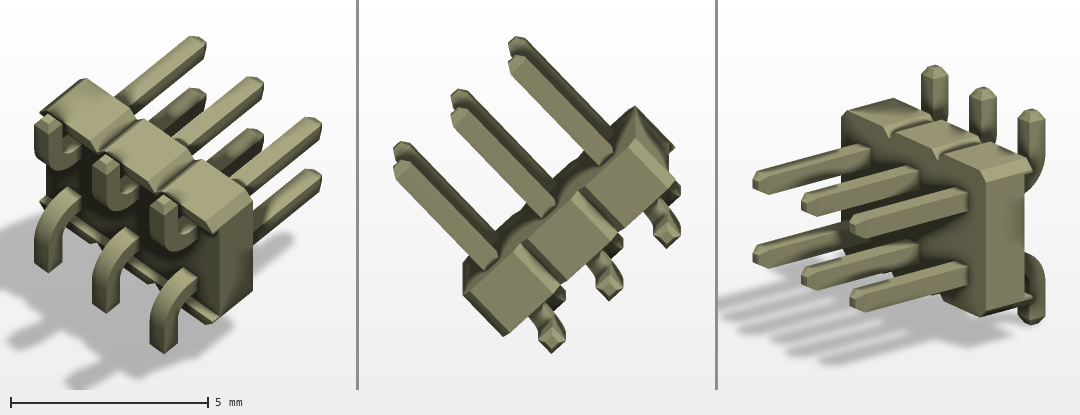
import cadquery as cq

columns = 3
housing_width = 6.0
overall_depth = 6.0
overall_height = 5.75
pin_size = 0.505
inner_bend_radius = 0.49
housing_height = 3.985
housing_depth = 1.495
notch = 0.25
recess_depth = 0.25
lip_height = 0.32
leg_tip_length = 0.205
mating_tip_length = 0.23
tip_ratio = 0.5

pitch = housing_width / columns
row_height = pitch / 2
outer_bend_radius = inner_bend_radius + pin_size
housing_front = outer_bend_radius
leg_end = overall_height / 2
leg_straight_end = leg_end - leg_tip_length
mating_straight_end = overall_depth - mating_tip_length
bend_end = row_height - pin_size / 2 + outer_bend_radius
column_places = [(i - (columns - 1) / 2) * pitch for i in range(columns)]


def make_cell(x):
    """One octagonal unit of the housing, as deep as the housing."""
    return (
        cq.Workplane("XZ", origin=(x, housing_front, 0))
        .rect(pitch, housing_height)
        .extrude(-housing_depth)
        .edges("|Y")
        .chamfer(notch)
    )


def make_housing():
    """Row of joined cells with a front recess and square through holes for the pins."""
    housing = make_cell(column_places[0])
    for x in column_places[1:]:
        housing = housing.union(make_cell(x))

    recess = cq.Workplane("XY").box(
        housing_width, recess_depth, housing_height - 2 * lip_height, centered=(True, False, True)
    )
    housing = housing.cut(recess.translate((0, housing_front, 0)))

    hole_places = [(x, z) for x in column_places for z in (row_height, -row_height)]
    holes = (
        cq.Workplane("XZ", origin=(0, housing_front, 0))
        .pushPoints(hole_places)
        .rect(pin_size, pin_size)
        .extrude(-housing_depth)
    )
    return housing.cut(holes).solids()


def make_tip(base, length):
    """Square pyramid frustum that tapers along the normal of its base plane."""
    end_size = pin_size * tip_ratio
    return (
        cq.Workplane(base)
        .rect(pin_size, pin_size)
        .workplane(offset=length)
        .rect(end_size, end_size)
        .loft(ruled=True)
    )


def make_upper_pin():
    """Square wire at X = 0 that runs along Y and bends up at the front, tapered at both ends."""
    leg_center = pin_size / 2
    wire_path = (
        cq.Workplane("YZ")
        .moveTo(mating_straight_end, row_height)
        .lineTo(housing_front, row_height)
        .radiusArc((leg_center, bend_end), inner_bend_radius + pin_size / 2)
        .lineTo(leg_center, leg_straight_end)
    )
    mating_plane = cq.Plane(
        origin=(0, mating_straight_end, row_height), xDir=(1, 0, 0), normal=(0, 1, 0)
    )
    leg_plane = cq.Plane(
        origin=(0, leg_center, leg_straight_end), xDir=(1, 0, 0), normal=(0, 0, 1)
    )
    wire = cq.Workplane(mating_plane).rect(pin_size, pin_size).sweep(wire_path)
    mating_tip = make_tip(mating_plane, mating_tip_length)
    leg_tip = make_tip(leg_plane, leg_tip_length)
    return wire.union(mating_tip).union(leg_tip).solids()


def make_pins():
    """Upper pins with legs bent up, and their mirror images below."""
    upper_pin = make_upper_pin()
    lower_pin = upper_pin.mirror("XY")
    return [pin.translate((x, 0, 0)).val() for x in column_places for pin in (upper_pin, lower_pin)]


housing = make_housing()
pins = make_pins()

result = cq.Compound.makeCompound([housing.val(), *pins])